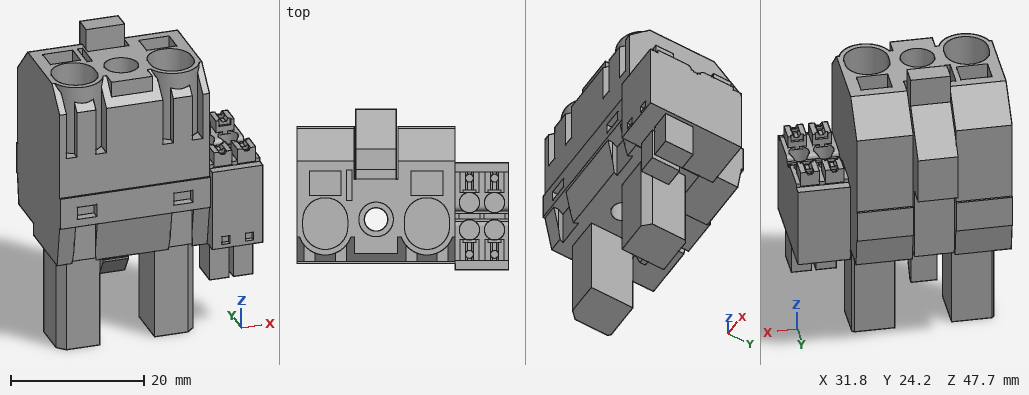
import cadquery as cq


housing_width = 23.75
housing_depth = 19.95
housing_bottom = 15.45
housing_top = 44.75
mid_x = housing_width / 2
pole_spacing = 15.25
pole_xs = [mid_x - pole_spacing / 2, mid_x + pole_spacing / 2]

front_chamfer = 3.63
back_chamfer = 4.85
band_bottom = 22.25
band_top = 27.25
band_height = 0.35
front_taper = 1.2
back_taper = 0.65
step_y = 12.35
step_z = 17.4

entry_width = 6.75
entry_length = 7.78
entry_y = 5.7
entry_flat_y = 9.55
entry_depth = 19.1
boss_radius = 4.1
boss_y = 5.05
boss_slot_width = 1.65
boss_slot_offset = 2.35
boss_slot_bottom = 33.72

nose_width = 6.5
nose_bottom = 42.25
nose_front = 1.2

test_pocket_width = 4.75
test_pocket_length = 3.63
test_pocket_y = 11.75
test_pocket_depth = 14.3
key_slot_width = 0.8
key_slot_length = 4.6
key_slot_x = 7.8
key_slot_y = 11.4
key_slot_depth = 7.15

screw_y = 6.3
screw_hole_diameter = 3.5
screw_head_diameter = 5.2
screw_head_depth = 9.55

window_width = 3.05
window_bottom = 23.45
window_top = 25.45
window_depth = 1.35

recess_face_y = 1.9
recess_width = 3.45
recess_flared_width = 4.4
recess_flare_y = 0.8

latch_slot_width = 6.55
latch_width = 6.1
latch_front = 13.8
latch_top = 47.7
latch_post_back = 16.85
latch_back = 22.85
latch_grip_bottom = 29.8
latch_grip_height = 7.3
latch_tail_bottom = 18.2
latch_bridge_bottom = 21.45

leg_outer_x = 1.0
leg_width = 6.55
leg_front = 3.5
leg_back = 10.88
leg_front_chamfer = 1.25
leg_back_chamfer = 0.4

hook_width = 4.0
hook_front = 9.3
hook_back = 11.6
hook_tip_z = 8.25
hook_tip_front = 10.65
hook_nose = 0.5
hook_nose_bottom = 11.0
hook_nose_top = 11.35

signal_width = 8.0
signal_mid_y = 6.75
signal_depth = 16.1
signal_bottom = 15.6
signal_wall = 1.4
signal_wall_top = 28.5
signal_top = 29.1
signal_pole_xs = [housing_width + 2.15, housing_width + 5.9]
signal_front = signal_mid_y - signal_depth / 2
signal_block_depth = signal_depth - 2 * signal_wall

signal_entry_diameter = 3.05
signal_entry_offset = 2.05
signal_entry_depth = 7.15
trough_half_width = 1.55
trough_depth = 0.7
contact_slot_width = 3.1
contact_slot_length = 0.75
contact_slot_depth = 4.75
contact_groove_depth = 0.95
signal_leg_width = 3.1
signal_leg_front = 1.75
signal_leg_length = 4.85
signal_leg_bottom = 9.0
signal_window_size = 1.3
signal_window_bottom = 16.2
signal_window_depth = 0.7

lever_width = 2.85
lever_length = 3.15
lever_bottom = 28.6
lever_top = 31.0
lever_groove_top_width = 1.2
lever_groove_floor_width = 0.55
lever_groove_depth = 0.5
lever_hole_diameter = 1.2
lever_hole_from_wall = 0.95
lever_hole_depth = 0.95
lever_notch_width = 1.9
lever_notch_length = 0.4
lever_notch_depth = 0.95


def block(x0, x1, y0, y1, z0, z1):
    """Box between two opposite corners."""
    return cq.Workplane("XY").box(x1 - x0, y1 - y0, z1 - z0, centered=False).translate((x0, y0, z0))


def centred_block(x, width, y0, y1, z0, z1):
    """Box centred on x, with given extents in Y and Z."""
    return block(x - width / 2, x + width / 2, y0, y1, z0, z1)


def side_prism(points, x, width):
    """Outline of (y, z) points extruded along X, centred on x."""
    return cq.Workplane("YZ").polyline(points).close().extrude(width).translate((x - width / 2, 0, 0))


def drill(x, y, diameter, top, depth):
    """Vertical round cutter that goes down from top."""
    return cq.Workplane("XY", origin=(x, y, top)).circle(diameter / 2).extrude(-depth)


def housing_shell():
    """Main body with its chamfered top, outer band and tapered lower end."""
    return side_prism(
        [
            (front_taper, housing_bottom),
            (0, band_bottom),
            (-band_height, band_bottom),
            (-band_height, band_top),
            (0, band_top),
            (0, housing_top - front_chamfer),
            (front_chamfer, housing_top),
            (housing_depth - back_chamfer, housing_top),
            (housing_depth, housing_top - back_chamfer),
            (housing_depth, band_top),
            (housing_depth + band_height, band_top),
            (housing_depth + band_height, band_bottom),
            (housing_depth, band_bottom),
            (housing_depth - back_taper, step_z),
            (step_y, step_z),
            (step_y, housing_bottom),
        ],
        mid_x,
        housing_width,
    )


def entry_boss(x):
    """Round boss that shows in the boss slots and on the front chamfer."""
    return drill(x, boss_y, 2 * boss_radius, housing_top, housing_top - boss_slot_bottom)


def boss_slots(x):
    """Two vertical slots in the front face, which the round boss later closes at the back."""
    left, right = [
        centred_block(slot_x, boss_slot_width, 0, boss_y, boss_slot_bottom, housing_top)
        for slot_x in (x - boss_slot_offset, x + boss_slot_offset)
    ]
    return left.union(right)


def entry_cavity(x):
    """Oblong wire cavity with a narrow flat at its back end."""
    cavity = cq.Workplane("XY", origin=(x, entry_y, housing_top))
    cavity = cavity.slot2D(entry_length, entry_width, 90).extrude(-entry_depth)
    return cavity.intersect(
        centred_block(x, entry_width, 0, entry_flat_y, housing_top - entry_depth, housing_top)
    )


def foot_recess(x):
    """Recess with an upright back face in the tapered front, wider at the back."""
    outline = [
        (x - recess_width / 2, 0),
        (x + recess_width / 2, 0),
        (x + recess_width / 2, recess_flare_y),
        (x + recess_flared_width / 2, recess_face_y),
        (x - recess_flared_width / 2, recess_face_y),
        (x - recess_width / 2, recess_flare_y),
    ]
    recess = cq.Workplane("XY", origin=(0, 0, housing_bottom)).polyline(outline).close()
    return recess.extrude(band_bottom - housing_bottom)


def latch():
    """Latch lever in the rear slot, joined to the slot floor by a bridge."""
    grip_top = latch_grip_bottom + latch_grip_height
    lever = side_prism(
        [
            (latch_front, latch_tail_bottom),
            (latch_front, latch_top),
            (latch_post_back, latch_top),
            (latch_post_back, grip_top + latch_back - latch_post_back),
            (latch_back, grip_top),
            (latch_back, latch_grip_bottom),
            (housing_depth, latch_grip_bottom),
            (housing_depth, latch_tail_bottom),
        ],
        mid_x,
        latch_width,
    )
    bridge = centred_block(mid_x, latch_width, step_y, latch_front, latch_bridge_bottom, latch_grip_bottom)
    return lever.union(bridge)


def power_legs():
    """Left leg and its mirror image, chamfered on their outer corners."""
    inner_x = leg_outer_x + leg_width
    outline = [
        (inner_x, leg_front),
        (inner_x, leg_back),
        (leg_outer_x + leg_back_chamfer, leg_back),
        (leg_outer_x, leg_back - leg_back_chamfer),
        (leg_outer_x, leg_front + leg_front_chamfer),
        (leg_outer_x + leg_front_chamfer, leg_front),
    ]
    left = cq.Workplane("XY").polyline(outline).close().extrude(housing_bottom)
    return left.union(left.mirror("YZ", (mid_x, 0, 0)))


def snap_hook():
    """Middle leg with a small nose and a sloped tip."""
    return side_prism(
        [
            (hook_front, housing_bottom),
            (hook_front, hook_nose_top),
            (hook_front - hook_nose, hook_nose_top),
            (hook_front - hook_nose, hook_nose_bottom),
            (hook_tip_front, hook_tip_z),
            (hook_back, hook_tip_z),
            (hook_back, housing_bottom),
        ],
        mid_x,
        hook_width,
    )


def make_power_housing():
    housing = housing_shell()
    housing = housing.union(
        centred_block(mid_x, nose_width, nose_front, front_chamfer, nose_bottom, housing_top)
    )
    for x in pole_xs:
        housing = housing.cut(boss_slots(x)).union(entry_boss(x))
        housing = housing.cut(entry_cavity(x)).cut(foot_recess(x))
        housing = housing.cut(
            centred_block(
                x, test_pocket_width,
                test_pocket_y - test_pocket_length / 2, test_pocket_y + test_pocket_length / 2,
                housing_top - test_pocket_depth, housing_top,
            )
        )
        housing = housing.cut(
            centred_block(
                x, window_width, -band_height, window_depth - band_height, window_bottom, window_top
            )
        )
    housing = housing.cut(
        centred_block(
            key_slot_x, key_slot_width,
            key_slot_y - key_slot_length / 2, key_slot_y + key_slot_length / 2,
            housing_top - key_slot_depth, housing_top,
        )
    )
    housing = housing.cut(
        centred_block(
            mid_x, latch_slot_width, step_y, housing_depth + band_height, housing_bottom, housing_top
        )
    )
    housing = housing.cut(drill(mid_x, screw_y, screw_head_diameter, housing_top, screw_head_depth))
    housing = housing.cut(
        drill(mid_x, screw_y, screw_hole_diameter, housing_top, housing_top - housing_bottom)
    )
    return housing.union(latch()).union(power_legs()).union(snap_hook())


def lever_envelope(x, side):
    """Outer block of one lever; side is -1 for the front row and 1 for the back row."""
    outer_y = signal_mid_y + side * signal_block_depth / 2
    inner_y = outer_y - side * lever_length
    return centred_block(
        x, lever_width, min(outer_y, inner_y), max(outer_y, inner_y), lever_bottom, lever_top
    )


def make_lever(x, side):
    outer_y = signal_mid_y + side * signal_block_depth / 2
    inner_y = outer_y - side * lever_length
    groove_floor = lever_top - lever_groove_depth
    groove = (
        cq.Workplane("XZ")
        .polyline(
            [
                (x - lever_groove_top_width / 2, lever_top),
                (x + lever_groove_top_width / 2, lever_top),
                (x + lever_groove_floor_width / 2, groove_floor),
                (x - lever_groove_floor_width / 2, groove_floor),
            ]
        )
        .close()
        .extrude(-signal_block_depth)
        .translate((0, signal_front + signal_wall, 0))
    )
    notch_end = inner_y + side * lever_notch_length
    notch = centred_block(
        x, lever_notch_width, min(inner_y, notch_end), max(inner_y, notch_end),
        lever_top - lever_notch_depth, lever_top,
    )
    hole_y = outer_y - side * lever_hole_from_wall
    hole = drill(x, hole_y, lever_hole_diameter, lever_top, lever_hole_depth)
    return lever_envelope(x, side).cut(groove).cut(notch).cut(hole)


def trough():
    """Channel along the middle of the signal housing with rounded shoulders."""
    floor = signal_top - trough_depth
    floor_half_width = trough_half_width - trough_depth
    outline = (
        cq.Workplane("YZ", origin=(housing_width, signal_mid_y, 0))
        .moveTo(-trough_half_width, signal_top)
        .radiusArc((-floor_half_width, floor), trough_depth)
        .lineTo(floor_half_width, floor)
        .radiusArc((trough_half_width, signal_top), trough_depth)
        .close()
    )
    return outline.extrude(signal_width)


def make_signal_housing():
    right = housing_width + signal_width
    back = signal_front + signal_depth
    body = block(housing_width, right, signal_front, back, signal_bottom, signal_wall_top)
    body = body.union(
        block(housing_width, right, signal_front + signal_wall, back - signal_wall, signal_bottom, signal_top)
    )
    body = body.cut(trough())
    slot_front = signal_mid_y - contact_slot_length / 2
    slot_back = signal_mid_y + contact_slot_length / 2
    body = body.cut(
        block(housing_width, right, slot_front, slot_back, signal_top - contact_groove_depth, signal_top)
    )
    for x in signal_pole_xs:
        for side in (-1, 1):
            body = body.cut(lever_envelope(x, side))
            entry_centre_y = signal_mid_y + side * signal_entry_offset
            body = body.cut(
                drill(x, entry_centre_y, signal_entry_diameter, signal_top, signal_entry_depth)
            )
        body = body.cut(
            centred_block(
                x, contact_slot_width, slot_front, slot_back,
                signal_top - contact_slot_depth, signal_top,
            )
        )
        body = body.cut(
            centred_block(
                x, signal_window_size,
                signal_front, signal_front + signal_window_depth,
                signal_window_bottom, signal_window_bottom + signal_window_size,
            )
        )
        body = body.union(
            centred_block(
                x, signal_leg_width,
                signal_leg_front, signal_leg_front + signal_leg_length,
                signal_leg_bottom, signal_bottom,
            )
        )
    return body


power_housing = make_power_housing()
signal_housing = make_signal_housing()
levers = [make_lever(x, side) for x in signal_pole_xs for side in (-1, 1)]

result = cq.Compound.makeCompound(
    [power_housing.val(), signal_housing.val(), *[lever.val() for lever in levers]]
)